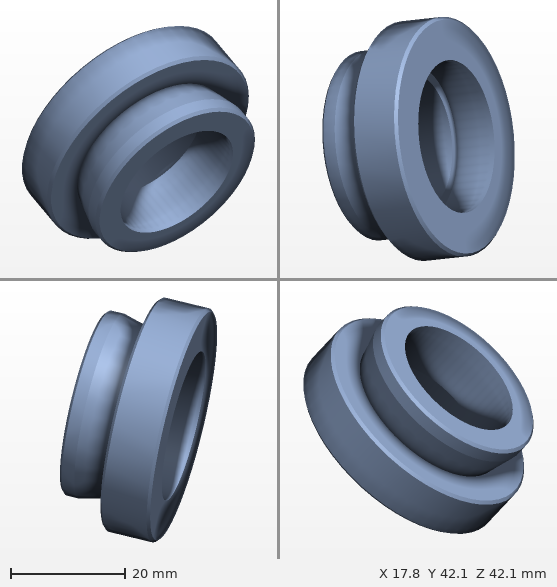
import cadquery as cq

total_length = 17.8
flange_diameter = 42.15
flange_length = 9.05

neck_root_diameter = 30.25
rim_diameter = 33.3
rim_length = 2.8
edge_chamfer = 0.5

counterbore_diameter = 26.9
counterbore_depth = 7.55
bore_diameter = 23.5

flange_radius = flange_diameter / 2
rim_radius = rim_diameter / 2
rim_start = total_length - rim_length


def make_body():
    """Solid of revolution: chamfered flange, flared neck and chamfered rim."""
    profile = (
        cq.Workplane("XY")
        .moveTo(0, 0)
        .lineTo(0, flange_radius - edge_chamfer)
        .lineTo(edge_chamfer, flange_radius)
        .lineTo(flange_length - edge_chamfer, flange_radius)
        .lineTo(flange_length, flange_radius - edge_chamfer)
        .lineTo(flange_length, neck_root_diameter / 2)
        .lineTo(rim_start, rim_radius)
        .lineTo(total_length - edge_chamfer, rim_radius)
        .lineTo(total_length, rim_radius - edge_chamfer)
        .lineTo(total_length, 0)
        .close()
    )
    return profile.revolve(360, (0, 0, 0), (1, 0, 0))


def make_bore(diameter, depth):
    """Cylinder running along +X from the flange face."""
    return cq.Workplane("YZ").circle(diameter / 2).extrude(depth)


through_bore = make_bore(bore_diameter, total_length)
counterbore = make_bore(counterbore_diameter, counterbore_depth)

result = make_body().cut(through_bore).cut(counterbore)